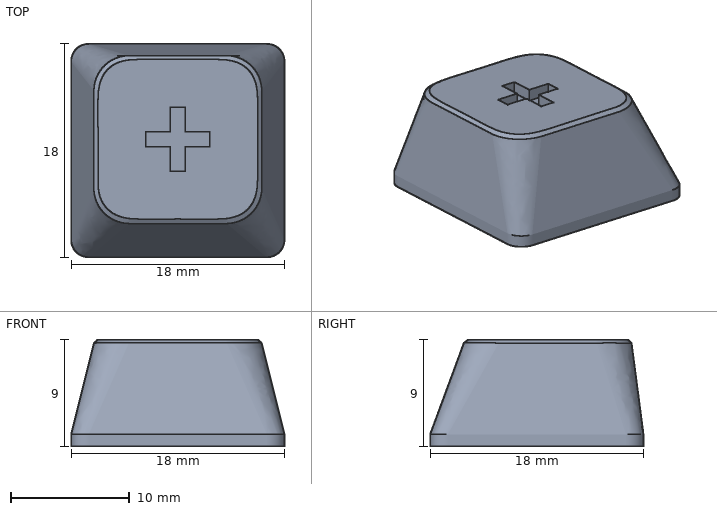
import cadquery as cq

base_side = 18.0
base_corner_radius = 1.5
skirt_height = 1.0

total_height = 9.0
top_side = 14.0
top_corner_radius = 3.0
top_offset_y = 0.95
rim_chamfer = 0.3

cross_length = 5.36
cross_arm_width = 1.3
cross_depth = 1.0


def rounded_square(side, radius):
    """Flat square outline with rounded corners, centred on the origin."""
    return cq.Sketch().rect(side, side).vertices().fillet(radius)


def make_skirt():
    base = rounded_square(base_side, base_corner_radius)
    return cq.Workplane("XY").placeSketch(base).extrude(skirt_height)


def make_tapered_body():
    base = rounded_square(base_side, base_corner_radius)
    top = rounded_square(top_side, top_corner_radius)
    taper_height = total_height - skirt_height
    top_location = cq.Location(cq.Vector(0, top_offset_y, taper_height))
    body = (
        cq.Workplane("XY")
        .workplane(offset=skirt_height)
        .placeSketch(base, top.moved(top_location))
        .loft(ruled=True)
    )
    return body.faces(">Z").edges().chamfer(rim_chamfer)


def make_cross():
    floor = cq.Workplane("XY", origin=(0, top_offset_y, total_height - cross_depth))
    along_x = floor.rect(cross_length, cross_arm_width).extrude(cross_depth)
    along_y = floor.rect(cross_arm_width, cross_length).extrude(cross_depth)
    return along_x.union(along_y)


result = make_skirt().union(make_tapered_body()).cut(make_cross())